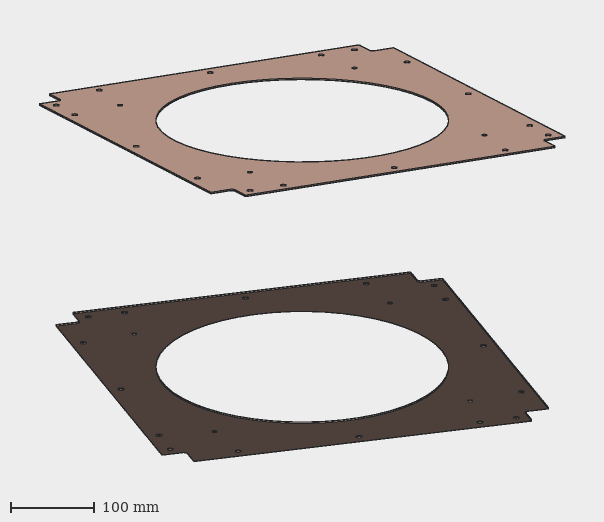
import cadquery as cq

side = 484.0
thickness = 2.0
half_side = side / 2

notch = 30.5
notch_radius = 5.0

opening_diameter = 350.0
edge_hole_diameter = 7.0
inner_hole_diameter = 6.0
edge_margin = 15.0
edge_hole_spacing = 151.5
inner_hole_offset = 160.0
corner_hole_offset = 197.0


def notched_plate():
    """Square plate with all four corners cut away."""
    long_bar = cq.Workplane("XY").box(side, side - 2 * notch, thickness)
    cross_bar = cq.Workplane("XY").box(side - 2 * notch, side, thickness)
    plate = long_bar.union(cross_bar)
    corner = half_side - notch
    reach = notch_radius / 2
    for x in (-corner, corner):
        for y in (-corner, corner):
            selector = cq.selectors.BoxSelector(
                (x - reach, y - reach, -thickness),
                (x + reach, y + reach, thickness),
            )
            plate = plate.edges("|Z").edges(selector).fillet(notch_radius)
    return plate


def edge_hole_points():
    """Three-hole rows on all edges plus the four extra end holes."""
    row = half_side - edge_margin
    points = []
    for along in (-edge_hole_spacing, 0, edge_hole_spacing):
        for across in (-row, row):
            points += [(along, across), (across, along)]
    for sign in (-1, 1):
        points.append((sign * corner_hole_offset, sign * row))
        points.append((-sign * row, sign * corner_hole_offset))
    return points


def drill(plate, points, diameter):
    """Drill through holes at the given centres."""
    return plate.faces(">Z").workplane(origin=(0, 0, 0)).pushPoints(points).hole(diameter)


inner_hole_points = [
    (x, y)
    for x in (-inner_hole_offset, inner_hole_offset)
    for y in (-inner_hole_offset, inner_hole_offset)
]

result = notched_plate()
result = drill(result, [(0, 0)], opening_diameter)
result = drill(result, edge_hole_points(), edge_hole_diameter)
result = drill(result, inner_hole_points, inner_hole_diameter)